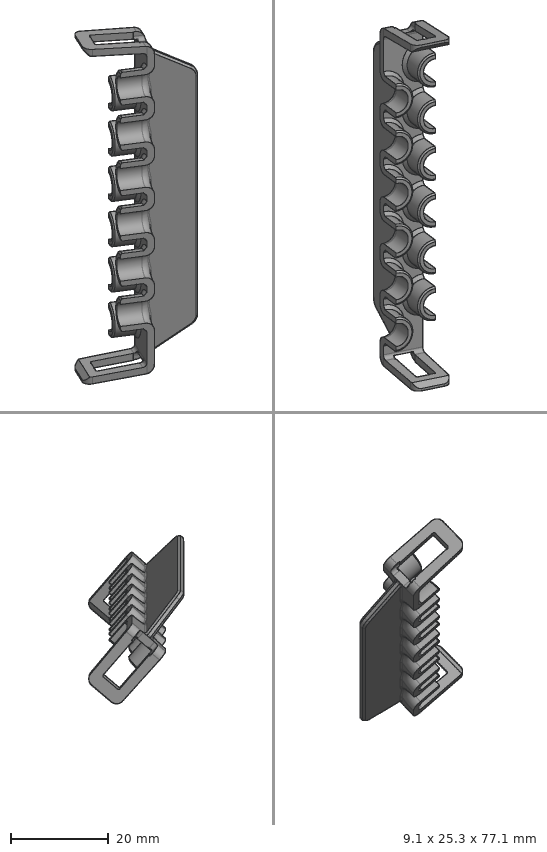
import cadquery as cq
import math

LENGTH = 77.1
WIDTH = 9.1
FIN_REACH = 10.4
ARM_REACH = 14.9
TUBE_REACH = 7.25

SHEET = 1.6
BEND_RADIUS = 2.0
INNER_BEND_RADIUS = 0.9
ARM_RISE = 4.0
TIP_RADIUS = 1.7
TIP_CHAMFER = 1.15
SIDE_TAPER = 1.0

WINDOW_WIDTH = 4.5
WINDOW_END = 11.65
WINDOW_END_SLANT = 0.4
WINDOW_DEPTH = 2.85
WINDOW_CORNER = 0.3
NOTCH_WIDTH = 4.9
NOTCH_END = 2.55
NOTCH_CORNER = 0.9

TUBES_PER_SIDE = 6
PITCH = 10.4
BORE_RADIUS = 2.55
WALL = 1.2
ROOT_HEIGHT = 0.7
ROOT_FLARE = 0.8
MOUTH_RADIUS = 1.9
RIM_HEIGHT = 0.3
RIM_INSET = 0.4
TUBE_INSET = 0.2
TUBE_X = WIDTH / 2 - TUBE_INSET

FIN_THICKNESS = 1.7
FIN_BASE_HALF = 34.95
FIN_ANGLE = 30.0
FIN_CORNER_RADIUS = 2.7
FIN_EDGE_CHAMFER = 0.5
FIN_ROOT_FILLET = 0.4

HALF = LENGTH / 2
SELECT_MARGIN = 0.1


def box(x_size, y_min, y_max, z_min, z_max):
    """Box centred on X between the given Y and Z limits."""
    size = (x_size, y_max - y_min, z_max - z_min)
    return cq.Workplane("XY").box(*size).translate((0, (y_min + y_max) / 2, (z_min + z_max) / 2))


def make_sheet():
    """Bent strip of full width, each arm end bevelled on its inner edge."""
    slope = math.tan(math.radians(ARM_RISE))
    upright = SHEET / math.cos(math.radians(ARM_RISE))
    bend_z = HALF - ARM_REACH * slope
    inner_z = bend_z + SHEET * slope - upright
    bevel_z = HALF - upright - TIP_CHAMFER * slope
    arm = [
        (-SHEET, inner_z),
        (-ARM_REACH + TIP_CHAMFER, bevel_z),
        (-ARM_REACH, bevel_z + TIP_CHAMFER),
        (-ARM_REACH, HALF),
        (0, bend_z),
    ]
    other_arm = [(y, -z) for y, z in reversed(arm)]
    sheet = cq.Workplane("YZ").polyline(arm + other_arm).close().extrude(WIDTH / 2, both=True)
    sheet = sheet.edges("|X and >Y").fillet(BEND_RADIUS)
    return sheet.faces(">Y[1]").edges("|X").fillet(INNER_BEND_RADIUS)


def trim_arms(sheet):
    """Taper the sides of the arms and round their outer corners."""
    tip_half = WIDTH / 2 - (ARM_REACH - SHEET) * math.tan(math.radians(SIDE_TAPER))
    footprint = (
        cq.Workplane("XY")
        .polyline([
            (-WIDTH / 2, 0), (-WIDTH / 2, -SHEET), (-tip_half, -ARM_REACH),
            (tip_half, -ARM_REACH), (WIDTH / 2, -SHEET), (WIDTH / 2, 0),
        ])
        .close().extrude(HALF, both=True)
    )
    return sheet.intersect(footprint.edges("|Z and <Y").fillet(TIP_RADIUS))


def make_window():
    """Cutter for the upper arm: long window plus the wider notch in the plate end."""
    floor_z = HALF - WINDOW_DEPTH
    window = (
        cq.Workplane("YZ")
        .polyline([
            (-SHEET, floor_z),
            (-WINDOW_END, floor_z),
            (-WINDOW_END - WINDOW_END_SLANT, HALF),
            (-SHEET, HALF),
        ])
        .close().extrude(WINDOW_WIDTH / 2, both=True)
        .faces("<Y").edges("not |X").fillet(WINDOW_CORNER)
    )
    notch = box(NOTCH_WIDTH, -NOTCH_END, FIN_REACH, floor_z, LENGTH)
    return window.union(notch.edges("|Y and <Z").fillet(NOTCH_CORNER))


def tube_centres():
    """(x, z) of each tube; the two rows are half a pitch apart."""
    centres = []
    for i in range(TUBES_PER_SIDE):
        z = (i - TUBES_PER_SIDE / 2 + 0.25) * PITCH
        centres += [(-TUBE_X, z), (TUBE_X, -z)]
    return centres


def make_tube():
    """Outer body of one tube about the Y axis, flared where it meets the plate."""
    outer = BORE_RADIUS + WALL
    return (
        cq.Workplane("XY")
        .lineTo(outer + ROOT_FLARE, 0)
        .lineTo(outer + ROOT_FLARE, -SHEET)
        .lineTo(outer, -SHEET - ROOT_HEIGHT)
        .lineTo(outer, -TUBE_REACH + RIM_HEIGHT)
        .lineTo(outer - RIM_INSET, -TUBE_REACH)
        .lineTo(0, -TUBE_REACH)
        .close().revolve(360, (0, 0, 0), (0, 1, 0))
    )


def make_bore():
    """Bore of one tube about the Y axis, with its rounded mouth in the plate back."""
    leg = MOUTH_RADIUS * (1 - math.sqrt(0.5))
    return (
        cq.Workplane("XY")
        .lineTo(BORE_RADIUS + MOUTH_RADIUS, 0)
        .threePointArc((BORE_RADIUS + leg, -leg), (BORE_RADIUS, -MOUTH_RADIUS))
        .lineTo(BORE_RADIUS, -TUBE_REACH)
        .lineTo(0, -TUBE_REACH)
        .close().revolve(360, (0, 0, 0), (0, 1, 0))
    )


def make_fin():
    """Trapezoid fin with rounded corners and bevelled free edges, rooted inside the plate."""
    top_half = FIN_BASE_HALF - FIN_REACH * math.tan(math.radians(FIN_ANGLE))
    fin = (
        cq.Workplane("YZ")
        .polyline([
            (-SHEET / 2, -FIN_BASE_HALF), (0, -FIN_BASE_HALF), (FIN_REACH, -top_half),
            (FIN_REACH, top_half), (0, FIN_BASE_HALF), (-SHEET / 2, FIN_BASE_HALF),
        ])
        .close().extrude(FIN_THICKNESS / 2, both=True)
    )
    fin = fin.edges("|X and >Y").fillet(FIN_CORNER_RADIUS)
    outer_edges = cq.selectors.BoxSelector(
        (-WIDTH, SELECT_MARGIN, -HALF),
        (WIDTH, FIN_REACH + SELECT_MARGIN, HALF),
    )
    return fin.faces("<X or >X").edges(outer_edges).chamfer(FIN_EDGE_CHAMFER)


def blend_fin_foot(body):
    """Fillet the fin into the plate back and into the bore mouths it crosses."""
    half_x = FIN_THICKNESS / 2 + SELECT_MARGIN
    half_z = FIN_BASE_HALF + SELECT_MARGIN
    foot = cq.selectors.BoxSelector(
        (-half_x, -SHEET / 4, -half_z),
        (half_x, SELECT_MARGIN, half_z),
        boundingbox=True,
    )
    return body.edges(foot).fillet(FIN_ROOT_FILLET)


body = trim_arms(make_sheet())
tube = make_tube()
bore = make_bore()
for x, z in tube_centres():
    body = body.union(tube.translate((x, 0, z)))
for x, z in tube_centres():
    body = body.cut(bore.translate((x, 0, z)))
body = body.intersect(box(WIDTH, -LENGTH, LENGTH, -LENGTH, LENGTH))
window = make_window()
body = body.cut(window).cut(window.mirror("XY"))
result = blend_fin_foot(body.union(make_fin()))